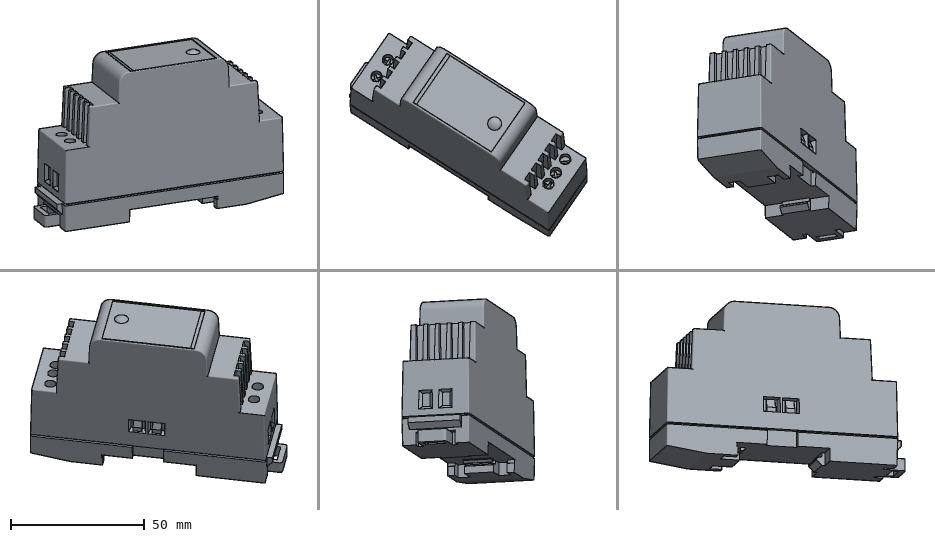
import cadquery as cq

overall_length = 94.5
body_length = 89.5
body_width = 26.4

base_top = 10.3
housing_bottom = 11.05
ledge_z = 32.3
shoulder_z = 48.0
crown_z = 59.5
overall_height = 60.3

foot_half_length = body_length / 2
base_front_low = 44.5
ledge_half_length = 44.3
shoulder_half_length_low = 34.95
shoulder_half_length_high = 34.3
crown_half_length_low = 22.7
crown_half_length_high = 22.2
crown_radius = 4.25

seam_half_width = body_width / 2
crown_half_width = 12.5
base_half_width_low = 12.9

edge_fillet = 0.5
seam_depth_x = 1.3
seam_depth_y = 1.1
overlap = 0.9
nearness = 0.9

slot_count = 5
slot_pitch = 4.5
slot_width_low = 2.55
slot_width_high = 3.1
slot_back_y = 32.6
slot_lip_z = 46.4
slot_lip = 0.4

screw_diameter = 4.2
screw_hole_depth = 3.8
drive_length = 3.1
drive_width = 0.8
drive_depth = 0.6
screws = [
    (-3.9, -38.7, (0, 90)),
    (3.9, -38.7, (55, 145)),
    (-8.1, 38.0, (130,)),
    (-1.8, 38.0, (45, 135)),
    (3.3, 38.0, (0, 90)),
]

wire_spacing = 7.7
wire_z = 17.2
wire_mouth = (5.3, 7.2)
wire_floor = (2.9, 5.1)
wire_depth = 1.1

window_centers_y = (4.2, -3.2)
window_z = 20.4
window_mouth = (6.5, 5.7)
window_floor = (5.3, 4.5)
window_depth = 2.1
tongue_width = 3.4
tongue_setback = 0.6
tongue_step_z = 19.5

recess_width = 22.9
recess_y = (-17.3, 17.8)
recess_depth = 0.4
label_y_low = -15.9
label_thickness = 0.1
lens_x = 1.5
lens_y = 12.7
lens_diameter = 5.4

channel_top = 4.9
undercut_z = 3.6
channel_y_hook = 17.3
channel_y_clip = -18.3
undercut = 0.4
hook_reach = 2.6
hook_tip_z = 2.7
hook_slope_length = 1.8
clip_root_y = -17.2
clip_tip_y = -15.1
clip_tip_z = (2.1, 2.6)
nub_y = (12.5, 14.3)
nub_tip_y = 13.4
nub_tip_z = 3.5
nub_side_z = (4.5, 3.9)
clip_width = 11.2
hook_gap_width = 20.4
hook_gap_depth = 4.7
side_notch_half_length = 5.95
side_notch_depth = 2.1
ramp_y = 29.5
ramp_z = 2.1

bar_width = 20.3
bar_reach = 2.1
bar_lip_z = 8.2
bar_low_z = 5.95
tab_end_y = foot_half_length - overall_length
tab_height = 4.6
tab_radius = 1.0
tab_window_width = 7.7
tab_bridge = 2.3
tab_pocket_width = 15.3
tab_pocket_height = 4.8
tab_pocket_depth = 3.8


def box(x, y, z):
    """Box from (low, high) pairs along each axis."""
    size = (x[1] - x[0], y[1] - y[0], z[1] - z[0])
    return cq.Workplane("XY").box(*size, centered=False).translate((x[0], y[0], z[0]))


def centered_box(width, y, z):
    return box((-width / 2, width / 2), y, z)


def extrude_yz(points, width):
    """Prism of a YZ outline, centered on X = 0."""
    return cq.Workplane("YZ").polyline(points).close().extrude(width / 2, both=True)


def extrude_xz(points, length):
    """Prism of an XZ outline, centered on Y = 0."""
    return cq.Workplane("XZ").polyline(points).close().extrude(length / 2, both=True)


def drafted_sides(half_width_low, z_low, half_width_high, z_high):
    """Long trapezoidal prism that gives both X sides their draft."""
    return extrude_xz(
        [
            (-half_width_low, z_low),
            (half_width_low, z_low),
            (half_width_high, z_high),
            (-half_width_high, z_high),
        ],
        3 * foot_half_length,
    )


def funnel(origin, x_direction, normal, mouth, floor, depth):
    """Tapered pocket running inward along the normal, with a straight mouth that clears the draft."""
    plane = cq.Plane(origin, x_direction, normal)
    taper = cq.Workplane(plane).rect(*mouth).workplane(offset=depth).rect(*floor).loft()
    return taper.union(cq.Workplane(plane).rect(*mouth).extrude(-overlap))


def make_housing():
    rear_outline = [
        (foot_half_length, housing_bottom),
        (ledge_half_length, ledge_z),
        (shoulder_half_length_low, ledge_z),
        (shoulder_half_length_high, shoulder_z),
        (crown_half_length_low, shoulder_z),
        (crown_half_length_high, crown_z),
    ]
    front_outline = [(-y, z) for y, z in reversed(rear_outline)]
    body = extrude_yz(rear_outline + front_outline, 4 * seam_half_width)
    body = body.edges("|X").edges(">Z").fillet(crown_radius)
    body = body.intersect(
        drafted_sides(seam_half_width, housing_bottom, crown_half_width, crown_z)
    )
    return round_housing_edges(body)


def round_housing_edges(body):
    """Round the side outlines and the outer cross edges of the shoulders and the -Y ledge."""

    def is_rounded_side_edge(edge):
        center = edge.Center()
        on_seam = abs(center.z - housing_bottom) < nearness
        on_front_ledge = abs(center.z - ledge_z) < nearness and center.y < 0
        return not (on_seam or on_front_ledge)

    def is_rounded_cross_edge(edge):
        center = edge.Center()
        on_shoulder = (
            abs(center.z - shoulder_z) < nearness
            and abs(center.y) > shoulder_half_length_high - nearness
        )
        on_front_ledge = (
            abs(center.z - ledge_z) < nearness
            and center.y < nearness - ledge_half_length
        )
        return on_shoulder or on_front_ledge

    side_edges = body.faces("<X or >X").edges().filter(is_rounded_side_edge)
    cross_edges = body.edges("|X").filter(is_rounded_cross_edge)
    return side_edges.add(cross_edges).fillet(edge_fillet)


def cut_vent_slots(body):
    top = shoulder_z + overlap
    mouth_y = shoulder_half_length_low + overlap
    lip_top = slot_lip * (top - slot_lip_z) / (shoulder_z - slot_lip_z)
    section = [
        (slot_back_y, ledge_z),
        (mouth_y, ledge_z),
        (mouth_y, top),
        (slot_back_y - lip_top, top),
        (slot_back_y, slot_lip_z),
    ]
    for index in range(slot_count):
        x = (index - (slot_count - 1) / 2) * slot_pitch
        sides = drafted_sides(slot_width_low / 2, ledge_z, slot_width_high / 2, top)
        slot = extrude_yz(section, slot_pitch).intersect(sides).translate((x, 0, 0))
        body = body.cut(slot).cut(slot.mirror("XZ"))
    return body


def cut_screws(body):
    floor_z = ledge_z - screw_hole_depth
    for x, y, angles in screws:
        hole = cq.Workplane("XY").circle(screw_diameter / 2).extrude(screw_hole_depth + overlap)
        for angle in angles:
            drive = cq.Workplane("XY").box(drive_length, drive_width, 2 * drive_depth)
            hole = hole.union(drive.rotate((0, 0, 0), (0, 0, 1), angle))
        body = body.cut(hole.translate((x, y, floor_z)))
    return body


def cut_wire_entries(body):
    draft = (foot_half_length - ledge_half_length) / (ledge_z - housing_bottom)
    wall_y = -foot_half_length + draft * (wire_z - housing_bottom)
    for x in (-wire_spacing / 2, wire_spacing / 2):
        origin = (x, wall_y, wire_z)
        entry = funnel(origin, (1, 0, 0), (0, 1, 0), wire_mouth, wire_floor, wire_depth)
        body = body.cut(entry)
    return body


def cut_side_windows(body):
    draft = (seam_half_width - crown_half_width) / (crown_z - housing_bottom)
    wall_x = -seam_half_width + draft * (window_z - housing_bottom)
    bottom = window_z - window_mouth[1] / 2
    top = window_z + window_mouth[1] / 2
    for y in window_centers_y:
        origin = (wall_x, y, window_z)
        pocket = funnel(origin, (0, 1, 0), (1, 0, 0), window_mouth, window_floor, window_depth)
        tongue = (
            cq.Workplane("XZ")
            .polyline([
                (wall_x + tongue_setback, bottom),
                (wall_x + tongue_setback, tongue_step_z),
                (wall_x + window_depth, top),
                (wall_x + window_depth, bottom),
            ])
            .close()
            .extrude(tongue_width / 2, both=True)
            .translate((0, y, 0))
        )
        body = body.cut(pocket.cut(tongue))
    return body


def finish_crown(body):
    floor_z = crown_z - recess_depth
    recess = centered_box(recess_width, recess_y, (floor_z, crown_z + overlap))
    label = centered_box(
        recess_width, (label_y_low, recess_y[1]), (floor_z, floor_z + label_thickness)
    )
    cap_height = overall_height - floor_z
    sphere_radius = ((lens_diameter / 2) ** 2 + cap_height ** 2) / (2 * cap_height)
    sphere = cq.Workplane("XY").sphere(sphere_radius)
    sphere = sphere.translate((lens_x, lens_y, overall_height - sphere_radius))
    lens = sphere.intersect(centered_box(
        recess_width, recess_y, (floor_z - overlap, overall_height + overlap)
    ))
    return body.cut(recess).union(label).union(lens)


def make_seam():
    """Recessed neck that joins the housing to the base."""
    half_length = foot_half_length - seam_depth_y
    return centered_box(
        2 * (seam_half_width - seam_depth_x),
        (-half_length, half_length),
        (base_top - overlap, housing_bottom + overlap),
    )


def make_base():
    body = extrude_yz(
        [
            (foot_half_length, base_top),
            (foot_half_length, ramp_z),
            (ramp_y, 0),
            (-base_front_low, 0),
            (-foot_half_length, base_top),
        ],
        4 * seam_half_width,
    )
    body = body.intersect(drafted_sides(base_half_width_low, 0, seam_half_width, base_top))
    corner_edges = body.faces("<Y or >Y").edges("not |X")
    body = corner_edges.fillet(edge_fillet)

    channel = [
        (channel_y_clip, -overlap),
        (channel_y_hook, -overlap),
        (channel_y_hook, undercut_z),
        (channel_y_hook + undercut, undercut_z),
        (channel_y_hook + undercut, channel_top),
        (channel_y_clip, channel_top),
    ]
    body = body.cut(extrude_yz(channel, 3 * seam_half_width))
    gap_y = (channel_y_hook - overlap, channel_y_hook + hook_gap_depth)
    body = body.cut(centered_box(hook_gap_width, gap_y, (-overlap, channel_top)))
    pocket_y = (-foot_half_length - overlap, -foot_half_length + tab_pocket_depth)
    body = body.cut(centered_box(tab_pocket_width, pocket_y, (-overlap, tab_pocket_height)))
    return body


def add_rail_grips(body):
    """Fixed hook, sliding clip and small nub that hold the mounting rail."""
    hook = [
        (channel_y_hook + hook_gap_depth, 0),
        (channel_y_hook - hook_reach, 0),
        (channel_y_hook - hook_reach, hook_tip_z),
        (channel_y_hook - hook_reach + hook_slope_length, undercut_z),
        (channel_y_hook + undercut, undercut_z),
        (channel_y_hook + undercut, channel_top),
        (channel_y_hook + hook_gap_depth, channel_top),
    ]
    clip = [
        (channel_y_clip, 0),
        (clip_root_y, 0),
        (clip_tip_y, clip_tip_z[0]),
        (clip_tip_y, clip_tip_z[1]),
        (clip_root_y, undercut_z),
        (clip_root_y, channel_top),
        (channel_y_clip, channel_top),
    ]
    nub = [
        (nub_y[1], channel_top),
        (nub_y[1], nub_side_z[1]),
        (nub_tip_y, nub_tip_z),
        (nub_y[0], nub_side_z[0]),
        (nub_y[0], channel_top),
    ]
    for outline in (hook, clip, nub):
        body = body.union(extrude_yz(outline, clip_width))
    return body


def make_catch_bar():
    wall_y = -foot_half_length
    lip_y = wall_y - bar_reach
    return extrude_yz(
        [
            (wall_y + overlap, base_top),
            (lip_y, base_top),
            (lip_y, bar_lip_z),
            (wall_y, bar_low_z),
            (wall_y + overlap, bar_low_z),
        ],
        bar_width,
    )


def make_pull_tab():
    inner_y = -foot_half_length + tab_pocket_depth
    tab = centered_box(clip_width, (tab_end_y, inner_y), (0, tab_height))
    tab = tab.edges("|Z").edges("<Y").fillet(tab_radius)
    window_y = (tab_end_y + tab_bridge, -foot_half_length)
    return tab.cut(centered_box(tab_window_width, window_y, (-overlap, tab_height + overlap)))


def cut_side_notch(body):
    notch = box(
        (-seam_half_width - overlap, -seam_half_width + side_notch_depth),
        (-side_notch_half_length, side_notch_half_length),
        (-overlap, housing_bottom),
    )
    return body.cut(notch)


housing = make_housing()
housing = cut_vent_slots(housing)
housing = cut_screws(housing)
housing = cut_wire_entries(housing)
housing = cut_side_windows(housing)
housing = finish_crown(housing)

base = make_base()
base = add_rail_grips(base)
base = base.union(make_catch_bar()).union(make_pull_tab())

result = cut_side_notch(housing.union(make_seam()).union(base))